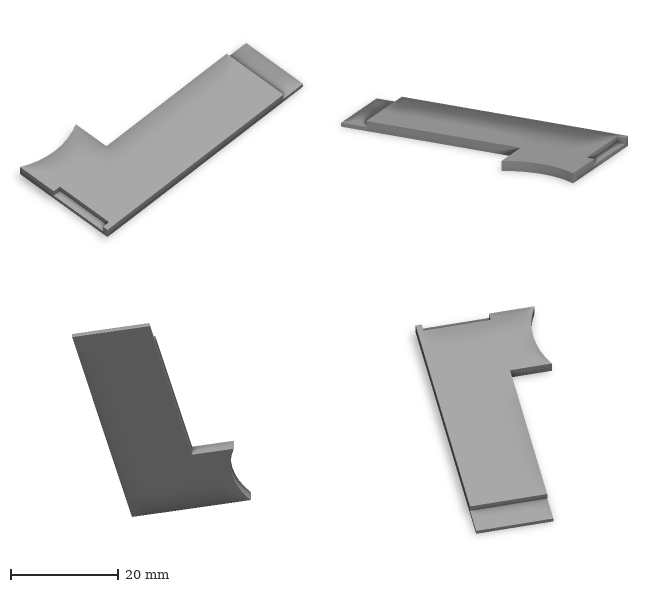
import cadquery as cq

total_width = 22.75
total_length = 52.5
stem_width = 14.75
foot_length = 14.95
foot_hollow_depth = 1.9

base_thickness = 0.8
total_thickness = 2.0
cover_thickness = total_thickness - base_thickness

tab_length = 5.25
cover_length = total_length - tab_length

notch_width = 12.8
notch_depth = 1.65
notch_right_margin = 1.15


def layer(length, thickness, bottom):
    """L-shaped plate whose foot ends in a concave arc."""
    stem_left = total_width - stem_width
    return (
        cq.Workplane("XY", origin=(0, 0, bottom))
        .lineTo(total_width, 0)
        .lineTo(total_width, length)
        .lineTo(stem_left, length)
        .lineTo(stem_left, foot_length)
        .lineTo(0, foot_length)
        .threePointArc((foot_hollow_depth, foot_length / 2), (0, 0))
        .close()
        .extrude(thickness)
    )


def make_base():
    return layer(total_length, base_thickness, 0)


def make_cover():
    plate = layer(cover_length, cover_thickness, base_thickness)
    notch_center = total_width - notch_right_margin - notch_width / 2
    notch = (
        cq.Workplane("XY", origin=(notch_center, 0, base_thickness))
        .rect(notch_width, 2 * notch_depth)
        .extrude(cover_thickness)
    )
    return plate.cut(notch)


base = make_base()
cover = make_cover()
result = cq.Compound.makeCompound([base.val(), cover.val()])